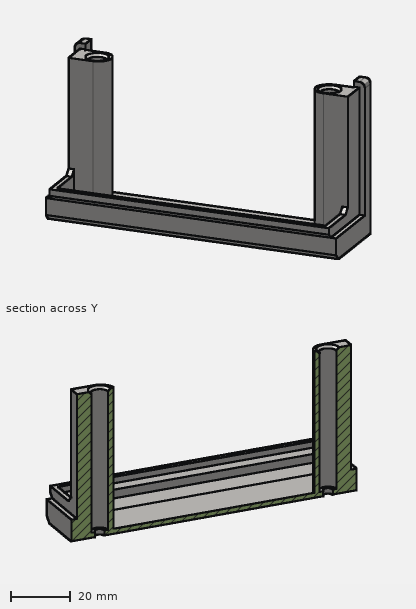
import cadquery as cq

length = 105.0
depth = 31.5
height = 55.0

wall = 2.0
ledge_height = 8.0
rim_height = 11.9
rim_overhang = 1.6
bottom_chamfer = 2.0
floor_height = wall
floor_bevel = 2.8

flange_depth = 5.0
lining_depth = 15.0
lining_foot = 2.0

post_back = 5.5
post_inset = 10.8
hole_offset = 10.5
screw_diameter = 3.4
bore_diameter = 6.0
bore_chamfer = 1.0

half_length = length / 2
post_top = height - wall
front_skin = depth - rim_overhang
lining_half = half_length - wall
cavity_half = lining_half - wall
post_radius = (lining_depth - post_back) / 2


def side_prism(points, x_start, x_end):
    """Extrude a (Y, Z) outline along X."""
    return cq.Workplane("YZ", origin=(x_start, 0, 0)).polyline(points).close().extrude(x_end - x_start)


def outer_skin():
    """Full-length base with a bevelled lower front edge."""
    return side_prism(
        [
            (0, 0),
            (bottom_chamfer - front_skin, 0),
            (-front_skin, bottom_chamfer),
            (-front_skin, ledge_height),
            (0, ledge_height),
        ],
        -half_length,
        half_length,
    )


def lining():
    """Inner block with the projecting rim and the two tall backs, before hollowing."""
    return side_prism(
        [
            (0, floor_height),
            (-front_skin, floor_height),
            (-front_skin, ledge_height),
            (-depth, ledge_height + rim_overhang),
            (-depth, rim_height),
            (-lining_depth - lining_foot, rim_height),
            (-lining_depth, rim_height + lining_foot),
            (-lining_depth, post_top),
            (0, post_top),
        ],
        -lining_half,
        lining_half,
    )


def cavity():
    """Space inside the tray, open at the top and the back; its front follows the outer skin."""
    front = front_skin - wall
    rim_front = depth - wall
    return side_prism(
        [
            (0, floor_height),
            (floor_bevel - front, floor_height),
            (-front, floor_height + floor_bevel),
            (-front, ledge_height),
            (-rim_front, ledge_height + rim_overhang),
            (-rim_front, height),
            (0, height),
        ],
        -cavity_half,
        cavity_half,
    )


def end_flange():
    """Upright skin at the left end, rounded over into a lip that covers the lining."""
    return (
        cq.Workplane("XZ")
        .moveTo(-half_length, 0)
        .lineTo(-half_length, post_top)
        .radiusArc((-lining_half, height), wall)
        .lineTo(-cavity_half, height)
        .lineTo(-cavity_half, post_top)
        .lineTo(-lining_half, post_top)
        .lineTo(-lining_half, 0)
        .close()
        .extrude(flange_depth)
    )


def post():
    """Screw post at the left end: a block with a half-round inner side."""
    axis_x = post_inset - half_length
    return (
        cq.Workplane("XY", origin=(0, 0, floor_height))
        .moveTo(-lining_half, -post_back)
        .lineTo(axis_x, -post_back)
        .radiusArc((axis_x, -lining_depth), post_radius)
        .lineTo(-lining_half, -lining_depth)
        .close()
        .extrude(post_top - floor_height)
    )


def post_hole():
    """Chamfered bore down to the floor, then a screw hole through the floor."""
    screw_radius = screw_diameter / 2
    bore_radius = bore_diameter / 2
    profile = [
        (0, 0),
        (screw_radius, 0),
        (screw_radius, floor_height),
        (bore_radius, floor_height),
        (bore_radius, post_top - bore_chamfer),
        (bore_radius + bore_chamfer, post_top),
        (0, post_top),
    ]
    return (
        cq.Workplane("XZ", origin=(hole_offset - half_length, -hole_offset, 0))
        .polyline(profile)
        .close()
        .revolve(360, (0, 0, 0), (0, 1, 0))
    )


def both_ends(feature):
    """The left-end feature together with its mirror image."""
    return feature.union(feature.mirror("YZ"))


result = (
    outer_skin()
    .union(lining())
    .cut(cavity())
    .union(both_ends(end_flange()))
    .union(both_ends(post()))
    .cut(both_ends(post_hole()))
    .clean()
)